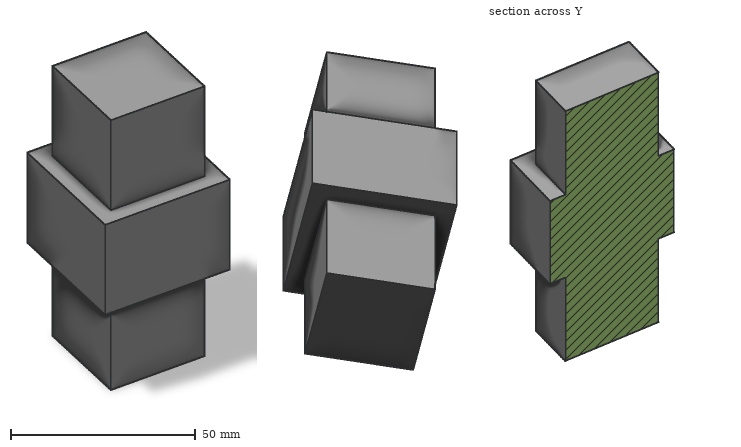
import cadquery as cq

post_width = 30.0
collar_width = 40.0
section_height = 30.0
total_height = 3 * section_height


def square_bar(width, height):
    """Square bar centred on the origin, standing along Z."""
    return cq.Workplane("XY").box(width, width, height)


post = square_bar(post_width, total_height)
collar = square_bar(collar_width, section_height)

result = post.union(collar)